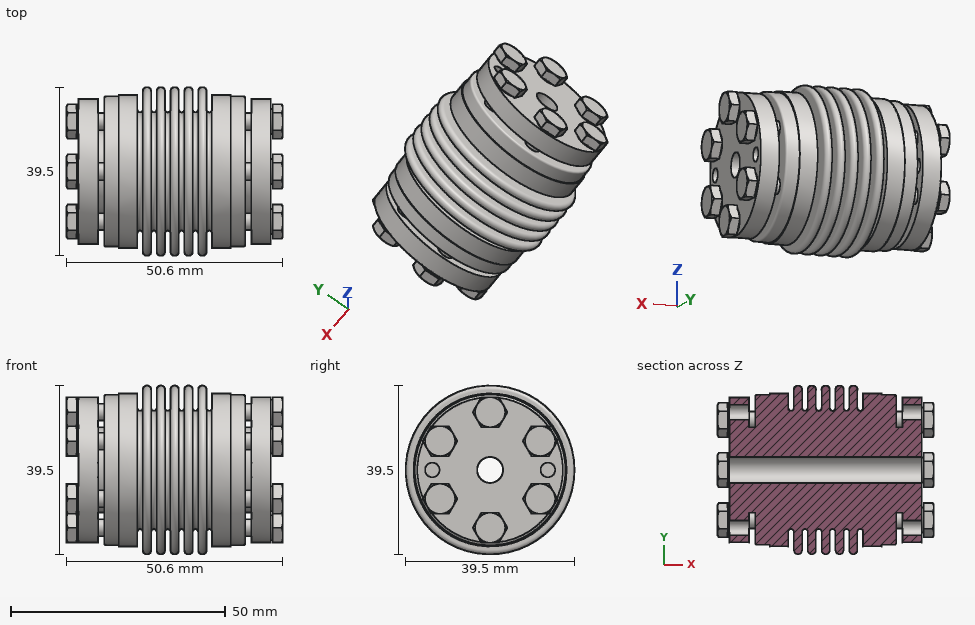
import cadquery as cq
import math


total_length = 50.6
bore_diameter = 6.0

fin_count = 5
bellows_length = 17.4
fin_width = 2.0
bellows_diameter = 39.5
valley_diameter = 27.7

ring_diameter = 35.8
ring_width = 4.4
collar_diameter = 35.2
collar_width = 3.4
collar_fillet = 0.5

gap_width = 1.4
spigot_diameter = 20.0
disc_diameter = 34.0

bolt_count = 6
bolt_circle_radius = 13.5
bolt_diameter = 4.0
head_sides = 6
head_across_flats = 7.0
head_height = 2.4
head_chamfer_angle = 30.0
washer_diameter = 5.9
washer_height = 0.4

jack_hole_diameter = 3.4
jack_hole_angles = (0, 180)

valley_width = (bellows_length - fin_count * fin_width) / (fin_count + 1)
bellows_half = bellows_length / 2
ring_end = bellows_half + ring_width
collar_end = ring_end + collar_width
disc_start = collar_end + gap_width
head_end = total_length / 2
head_start = head_end - head_height
disc_end = head_start - washer_height


def cylinder(x_start, x_end, diameter, y=0, z=0):
    """Cylinder along X between two stations."""
    plane = cq.Workplane("YZ", origin=(x_start, y, z))
    return plane.circle(diameter / 2).extrude(x_end - x_start)


def circle_position(angle):
    """Y and Z of a point on the bolt circle."""
    y = bolt_circle_radius * math.cos(math.radians(angle))
    z = bolt_circle_radius * math.sin(math.radians(angle))
    return y, z


def make_bellows():
    """Revolved row of fins with half-round crests and half-round valleys."""
    crest_radius = bellows_diameter / 2
    crest_shoulder = crest_radius - fin_width / 2
    valley_bottom = valley_diameter / 2
    valley_shoulder = valley_bottom + valley_width / 2

    x = -bellows_half
    profile = cq.Workplane("XY").moveTo(x, 0).lineTo(x, valley_shoulder)
    for index in range(fin_count + 1):
        valley_end = x + valley_width
        valley_middle = (x + valley_width / 2, valley_bottom)
        profile = profile.threePointArc(valley_middle, (valley_end, valley_shoulder))
        x = valley_end
        if index < fin_count:
            fin_end = x + fin_width
            profile = profile.lineTo(x, crest_shoulder)
            profile = profile.threePointArc((x + fin_width / 2, crest_radius), (fin_end, crest_shoulder))
            profile = profile.lineTo(fin_end, valley_shoulder)
            x = fin_end
    return profile.lineTo(x, 0).close().revolve(360, (0, 0, 0), (1, 0, 0))


def make_hub():
    """Stepped ring, spigot and clamping disc of the positive end."""
    ring = cylinder(bellows_half, ring_end, ring_diameter)
    collar = cylinder(ring_end, collar_end, collar_diameter).faces(">X").fillet(collar_fillet)
    spigot = cylinder(collar_end, disc_start, spigot_diameter)
    disc = cylinder(disc_start, disc_end, disc_diameter)
    for angle in jack_hole_angles:
        disc = disc.cut(cylinder(disc_start, disc_end, jack_hole_diameter, *circle_position(angle)))
    return ring.union(collar).union(spigot).union(disc)


def make_bolt_head():
    """Hexagonal head on the X axis, flats facing +Z and -Z, corners chamfered on the outer face."""
    corner_radius = head_across_flats / 2 / math.cos(math.pi / head_sides)
    flat_radius = head_across_flats / 2
    chamfer_depth = (corner_radius - flat_radius) * math.tan(math.radians(head_chamfer_angle))
    hexagon = (
        cq.Workplane("YZ", origin=(head_start, 0, 0))
        .polygon(head_sides, 2 * corner_radius)
        .extrude(head_height)
    )
    envelope = (
        cq.Workplane("XY")
        .moveTo(head_start, 0)
        .lineTo(head_start, corner_radius)
        .lineTo(head_end - chamfer_depth, corner_radius)
        .lineTo(head_end, flat_radius)
        .lineTo(head_end, 0)
        .close()
        .revolve(360, (0, 0, 0), (1, 0, 0))
    )
    return hexagon.intersect(envelope)


def make_bolt():
    """Bolt on the X axis, its shank reaching from the collar to the head."""
    shank = cylinder(collar_end, disc_end, bolt_diameter)
    washer = cylinder(disc_end, head_start, washer_diameter)
    return shank.union(washer).union(make_bolt_head())


def make_end():
    """Complete positive end with its ring of bolts."""
    end = make_hub()
    bolt = make_bolt()
    first_angle = 360 / bolt_count / 2
    for index in range(bolt_count):
        y, z = circle_position(first_angle + index * 360 / bolt_count)
        end = end.union(bolt.translate((0, y, z)))
    return end


end_assembly = make_end()
body = make_bellows().union(end_assembly).union(end_assembly.mirror("YZ"))
result = body.cut(cylinder(-head_end, head_end, bore_diameter))